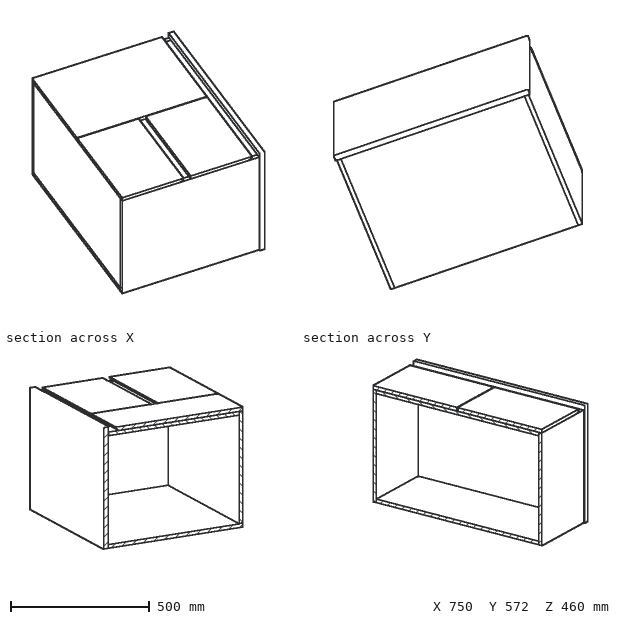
import cadquery as cq


total_width = 750.0
total_height = 572.0
total_depth = 460.0

top_thickness = 22.0
top_overhang = 5.0
top_edge_radius = 2.8

board = 16.0
front_thickness = 14.0
finger_gap = 28.0
centre_gap = 3.0
grip_land = 3.0
drawer_count = 2

cabinet_width = total_width - 2 * top_overhang
cabinet_height = total_height - top_thickness
carcass_depth = total_depth - top_overhang - front_thickness
inner_width = cabinet_width - 2 * board
door_height = cabinet_height - finger_gap
drawer_height = cabinet_height / drawer_count - finger_gap
front_width = (cabinet_width - centre_gap) / 2


def make_board(width, height, depth, x, y, z):
    """Rectangular board with its lowest corner at (x, y, z)."""
    return cq.Workplane("XY").box(width, height, depth, centered=False).translate((x, y, z))


def make_bench_top():
    """Slab with rounded front corners and a rounded upper edge at the front and both ends."""
    slab = make_board(total_width, top_thickness, total_depth, -total_width / 2, cabinet_height, 0)
    slab = slab.edges("|Y and >Z").fillet(top_edge_radius)
    exposed_edges = slab.faces(">Y").edges("not <Z")
    return slab.newObject(exposed_edges.vals()).fillet(top_edge_radius)


def make_side_panel(x):
    """Full-height side whose left face is at x."""
    return make_board(board, cabinet_height, carcass_depth, x, 0, 0)


def make_bottom_panel():
    """Floor between the sides, in front of the back panel."""
    return make_board(inner_width, board, carcass_depth - board, -inner_width / 2, 0, board)


def make_back_panel():
    """Full-height back between the sides."""
    return make_board(inner_width, cabinet_height, board, -inner_width / 2, 0, 0)


def make_front_panel():
    """Board behind the door and drawers, standing on the floor and flush with the sides."""
    return make_board(
        inner_width, cabinet_height - board, board, -inner_width / 2, board, carcass_depth - board
    )


def make_front(height, x, y):
    """Door or drawer front whose upper edge is bevelled behind as a finger grip."""
    bevel = front_thickness - grip_land
    profile = [
        (0, 0),
        (height - bevel, 0),
        (height, bevel),
        (height, front_thickness),
        (0, front_thickness),
    ]
    front = cq.Workplane("YZ").polyline(profile).close().extrude(front_width)
    return front.translate((x, y, carcass_depth))


bench_top = make_bench_top()
side_panels = [make_side_panel(x) for x in (-cabinet_width / 2, inner_width / 2)]
bottom_panel = make_bottom_panel()
back_panel = make_back_panel()
front_panel = make_front_panel()
door = make_front(door_height, -cabinet_width / 2, 0)
drawer_fronts = [
    make_front(drawer_height, centre_gap / 2, row * (drawer_height + finger_gap))
    for row in range(drawer_count)
]

result = cq.Compound.makeCompound([
    bench_top.val(),
    *[panel.val() for panel in side_panels],
    bottom_panel.val(),
    back_panel.val(),
    front_panel.val(),
    door.val(),
    *[front.val() for front in drawer_fronts],
])